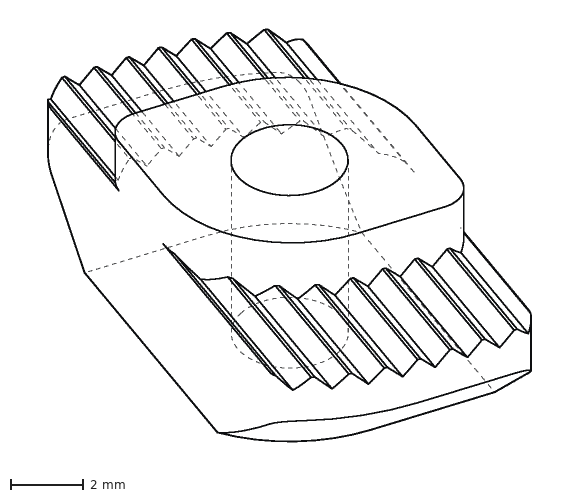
import cadquery as cq
import math

length = 16.0
width = 7.7
height = 6.0
plate_height = 4.5
bevel_height = 3.0
corner_radius = 0.96
boss_round_radius = 4.0
hole_diameter = 3.25
ridge_span = 6.0
ridge_count = 7
crest_width = 0.1
edge_chamfer = 0.05

half_length = length / 2
half_width = width / 2
base_half_length = half_length - bevel_height
ridge_pitch = ridge_span / (ridge_count - 1)
groove_depth = (ridge_pitch - crest_width) / 2


def make_plate():
    """T-nut plate: two square and two turned quarters."""
    bevelled_bar = (
        cq.Workplane("XZ")
        .polyline([
            (-base_half_length, 0),
            (base_half_length, 0),
            (half_length, bevel_height),
            (half_length, plate_height),
            (-half_length, plate_height),
            (-half_length, bevel_height),
        ])
        .close()
        .extrude(half_width, both=True)
    )
    turned_body = (
        cq.Workplane("XZ")
        .polyline([
            (0, 0),
            (base_half_length, 0),
            (half_length, bevel_height),
            (half_length, plate_height),
            (0, plate_height),
        ])
        .close()
        .revolve(360, (0, 0, 0), (0, 1, 0))
    )
    square_quarters = quarter_box(1, 1).union(quarter_box(-1, -1))
    turned_quarters = quarter_box(1, -1).union(quarter_box(-1, 1))
    plate = bevelled_bar.intersect(square_quarters).union(turned_body.intersect(turned_quarters))
    return plate.intersect(make_plate_outline())


def quarter_box(x_side, y_side):
    """Box filling one quarter of the plate's bounding volume."""
    return (
        cq.Workplane("XY")
        .center(x_side * half_length / 2, y_side * half_width / 2)
        .rect(half_length, half_width)
        .extrude(plate_height)
    )


def make_plate_outline():
    """Upright prism with the plate's rounded plan outline."""
    arc_end_x = math.sqrt(half_length**2 - half_width**2)
    arc_middle_x = math.sqrt(half_length**2 - (half_width / 2) ** 2)
    return (
        cq.Workplane("XY")
        .moveTo(-half_length, -half_width)
        .lineTo(arc_end_x, -half_width)
        .threePointArc((arc_middle_x, -half_width / 2), (half_length, 0))
        .lineTo(half_length, half_width)
        .lineTo(-arc_end_x, half_width)
        .threePointArc((-arc_middle_x, half_width / 2), (-half_length, 0))
        .close()
        .extrude(plate_height)
        .edges("|Z")
        .edges("<Y or >Y")
        .fillet(corner_radius)
    )


def cut_ridges(plate):
    """Cut V grooves along X, leaving a ridge on the centre line."""
    for index in range(ridge_count + 1):
        groove_y = (index - ridge_count / 2) * ridge_pitch
        groove = (
            cq.Workplane("YZ")
            .polyline([
                (groove_y - groove_depth, plate_height),
                (groove_y, plate_height - groove_depth),
                (groove_y + groove_depth, plate_height),
            ])
            .close()
            .extrude(half_length, both=True)
        )
        plate = plate.cut(groove)
    return plate


def chamfer_long_edges(plate):
    """Bevel the outer edges where the outermost grooves run out of the sides."""
    last_groove_y = ridge_count / 2 * ridge_pitch
    chamfer_start_y = half_width - edge_chamfer
    chamfer_top = plate_height - groove_depth + chamfer_start_y - last_groove_y
    for side in (-1, 1):
        wedge = (
            cq.Workplane("YZ")
            .polyline([
                (side * chamfer_start_y, chamfer_top),
                (side * half_width, chamfer_top - edge_chamfer),
                (side * half_width, plate_height),
                (side * chamfer_start_y, plate_height),
            ])
            .close()
            .extrude(half_length, both=True)
        )
        plate = plate.cut(wedge)
    return plate


def make_boss():
    """Square boss with two large and two small rounded corners."""
    boss_bottom = plate_height - groove_depth
    boss = (
        cq.Workplane("XY")
        .workplane(offset=boss_bottom)
        .rect(width, width)
        .extrude(height - boss_bottom)
    )
    for x_side in (-1, 1):
        for y_side in (-1, 1):
            radius = corner_radius if x_side == y_side else boss_round_radius
            corner = (x_side * half_width, y_side * half_width, height)
            boss = boss.edges("|Z").edges(cq.selectors.NearestToPointSelector(corner)).fillet(radius)
    return boss


hole = cq.Workplane("XY").circle(hole_diameter / 2).extrude(height)
plate = chamfer_long_edges(cut_ridges(make_plate()))
result = plate.union(make_boss()).cut(hole)